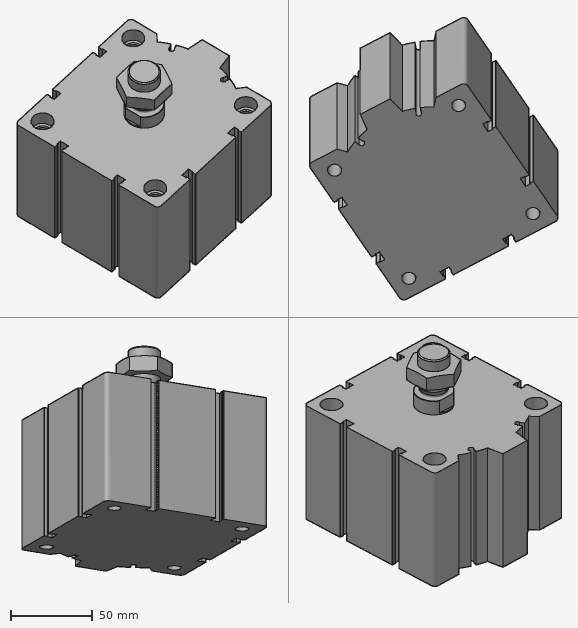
import cadquery as cq
import math


WIDTH = 113.0
HALF = WIDTH / 2
HOUSING_HEIGHT = 83.0
CORNER_RADIUS = 3.0

RAIL_RADIUS = 60.1
RIB_TOP_Y = 70.2
RIB_TOP_HALF_WIDTH = 10.7
RIB_BASE_HALF_WIDTH = 12.6
VALLEY_X = 31.0
SHOULDER_X = 35.5

GROOVE_ANGLE = 21.4
GROOVE_CENTER_RADIUS = 56.1
GROOVE_DIAMETER = 3.5
GROOVE_NECK_WIDTH = 3.2
GROOVE_NECK_LENGTH = 6.0

SLOT_OFFSET = 22.5
SLOT_MOUTH_WIDTH = 5.2
SLOT_MOUTH_DEPTH = 2.8
SLOT_LIP_CHAMFER = 0.3
SLOT_WIDTH = 6.3
SLOT_DEPTH = 6.0

HOLE_SPACING = 89.0
HOLE_DIAMETER = 8.5
COUNTERBORE_DIAMETER = 14.0
COUNTERBORE_DEPTH = 9.5
COUNTERSINK_DIAMETER = 10.0

COLLAR_DIAMETER = 25.0
COLLAR_HEIGHT = 10.0
COLLAR_CHAMFER = 0.2
FLATS_WIDTH = 22.0
FLATS_START = 1.0
THREAD_DIAMETER = 20.0
THREAD_TIP_DIAMETER = 18.38
THREAD_TIP_CHAMFER = (THREAD_DIAMETER - THREAD_TIP_DIAMETER) / 2
NECK_DIAMETER = 17.9
NECK_FILLET = 0.6
NECK_END = 12.0
THREAD_START = 14.8
ROD_HEIGHT = 38.0

NUT_WIDTH = 30.0
NUT_HEIGHT = 10.0
NUT_TOP = 30.0
NUT_FACE_DIAMETER = 29.9
NUT_CHAMFER_ANGLE = 15.0


def housing_outline():
    """Plan outline of the housing, before the grooves and slots are cut."""

    def on_rail(x):
        return (x, math.sqrt(RAIL_RADIUS**2 - x**2))

    def mirrored(point):
        return (-point[0], point[1])

    valley = on_rail(VALLEY_X)
    rib_base = on_rail(RIB_BASE_HALF_WIDTH)
    mid_rail = on_rail((VALLEY_X + RIB_BASE_HALF_WIDTH) / 2)
    return (
        cq.Workplane("XY")
        .moveTo(-HALF, -HALF)
        .lineTo(HALF, -HALF)
        .lineTo(HALF, HALF)
        .lineTo(SHOULDER_X, HALF)
        .lineTo(*valley)
        .threePointArc(mid_rail, rib_base)
        .lineTo(RIB_TOP_HALF_WIDTH, RIB_TOP_Y)
        .lineTo(-RIB_TOP_HALF_WIDTH, RIB_TOP_Y)
        .lineTo(*mirrored(rib_base))
        .threePointArc(mirrored(mid_rail), mirrored(valley))
        .lineTo(-SHOULDER_X, HALF)
        .lineTo(-HALF, HALF)
        .close()
    )


def t_slot():
    """Cutter for one T-slot opening at the -Y side, with chamfered lips."""
    half_mouth = SLOT_MOUTH_WIDTH / 2
    half_slot = SLOT_WIDTH / 2
    half_lip = half_mouth + SLOT_LIP_CHAMFER
    step_y = SLOT_MOUTH_DEPTH - HALF
    floor_y = SLOT_DEPTH - HALF
    return (
        cq.Workplane("XY")
        .polyline(
            [
                (0, -HALF),
                (half_lip, -HALF),
                (half_mouth, SLOT_LIP_CHAMFER - HALF),
                (half_mouth, step_y),
                (half_slot, step_y),
                (half_slot, floor_y),
                (0, floor_y),
            ]
        )
        .mirrorY()
        .extrude(HOUSING_HEIGHT)
    )


def sensor_groove():
    """Cutter for one keyhole groove on the +Y axis."""
    bore = (
        cq.Workplane("XY")
        .center(0, GROOVE_CENTER_RADIUS)
        .circle(GROOVE_DIAMETER / 2)
        .extrude(HOUSING_HEIGHT)
    )
    neck = (
        cq.Workplane("XY")
        .box(GROOVE_NECK_WIDTH, GROOVE_NECK_LENGTH, HOUSING_HEIGHT, centered=(True, False, False))
        .translate((0, GROOVE_CENTER_RADIUS, 0))
    )
    return bore.union(neck)


def mounting_holes():
    """Cutter for the four through holes with countersunk counterbores."""
    radius = HOLE_DIAMETER / 2
    sink_radius = COUNTERSINK_DIAMETER / 2
    counterbore_floor = HOUSING_HEIGHT - COUNTERBORE_DEPTH
    profile = (
        cq.Workplane("XZ")
        .polyline(
            [
                (0, 0),
                (radius, 0),
                (radius, counterbore_floor - (sink_radius - radius)),
                (sink_radius, counterbore_floor),
                (COUNTERBORE_DIAMETER / 2, counterbore_floor),
                (COUNTERBORE_DIAMETER / 2, HOUSING_HEIGHT),
                (0, HOUSING_HEIGHT),
            ]
        )
        .close()
    )
    hole = profile.revolve(360, (0, 0, 0), (0, 1, 0)).val()
    return (
        cq.Workplane("XY")
        .rect(HOLE_SPACING, HOLE_SPACING, forConstruction=True)
        .vertices()
        .eachpoint(lambda place: hole.moved(place))
    )


def build_housing():
    """Extruded block with rounded corners, slots, sensor grooves and mounting holes."""
    body = (
        housing_outline()
        .extrude(HOUSING_HEIGHT)
        .edges("|Z")
        .filter(lambda edge: abs(edge.Center().x) > SHOULDER_X + CORNER_RADIUS)
        .fillet(CORNER_RADIUS)
    )
    for turn in (-90, 0, 90):
        for offset in (-SLOT_OFFSET, SLOT_OFFSET):
            slot = t_slot().translate((offset, 0, 0)).rotate((0, 0, 0), (0, 0, 1), turn)
            body = body.cut(slot)
    for angle in (-GROOVE_ANGLE, GROOVE_ANGLE):
        body = body.cut(sensor_groove().rotate((0, 0, 0), (0, 0, 1), angle))
    return body.cut(mounting_holes())


def build_rod():
    """Turned rod end: collar with wrench flats, relief neck and thread."""
    collar_radius = COLLAR_DIAMETER / 2
    neck_radius = NECK_DIAMETER / 2
    thread_radius = THREAD_DIAMETER / 2
    fillet_middle = NECK_FILLET * (1 - math.sqrt(0.5))
    rod = (
        cq.Workplane("XZ")
        .lineTo(collar_radius, 0)
        .lineTo(collar_radius, COLLAR_HEIGHT - COLLAR_CHAMFER)
        .lineTo(collar_radius - COLLAR_CHAMFER, COLLAR_HEIGHT)
        .lineTo(neck_radius + NECK_FILLET, COLLAR_HEIGHT)
        .threePointArc(
            (neck_radius + fillet_middle, COLLAR_HEIGHT + fillet_middle),
            (neck_radius, COLLAR_HEIGHT + NECK_FILLET),
        )
        .lineTo(neck_radius, NECK_END)
        .lineTo(thread_radius, THREAD_START)
        .lineTo(thread_radius, ROD_HEIGHT - THREAD_TIP_CHAMFER)
        .lineTo(THREAD_TIP_DIAMETER / 2, ROD_HEIGHT)
        .lineTo(0, ROD_HEIGHT)
        .close()
        .revolve(360, (0, 0, 0), (0, 1, 0))
    )
    for side in (-1, 1):
        flat = (
            cq.Workplane("XY")
            .box(COLLAR_DIAMETER, FLATS_WIDTH, COLLAR_HEIGHT - FLATS_START, centered=(True, True, False))
            .translate((0, side * FLATS_WIDTH, FLATS_START))
        )
        rod = rod.cut(flat)
    return rod.translate((0, 0, HOUSING_HEIGHT))


def build_nut():
    """Hexagon nut with corners on Y, chamfered on both faces."""
    corner_radius = NUT_WIDTH / math.sqrt(3)
    face_radius = NUT_FACE_DIAMETER / 2
    chamfer_height = (corner_radius - face_radius) * math.tan(math.radians(NUT_CHAMFER_ANGLE))
    hexagon = (
        cq.Workplane("XY")
        .polygon(6, 2 * corner_radius)
        .extrude(NUT_HEIGHT)
        .rotate((0, 0, 0), (0, 0, 1), 90)
    )
    turned_blank = (
        cq.Workplane("XZ")
        .polyline(
            [
                (0, 0),
                (face_radius, 0),
                (corner_radius, chamfer_height),
                (corner_radius, NUT_HEIGHT - chamfer_height),
                (face_radius, NUT_HEIGHT),
                (0, NUT_HEIGHT),
            ]
        )
        .close()
        .revolve(360, (0, 0, 0), (0, 1, 0))
    )
    bore = cq.Workplane("XY").circle(THREAD_DIAMETER / 2).extrude(NUT_HEIGHT)
    nut = hexagon.intersect(turned_blank).cut(bore)
    return nut.translate((0, 0, HOUSING_HEIGHT + NUT_TOP - NUT_HEIGHT))


housing = build_housing()
rod = build_rod()
nut = build_nut()

result = cq.Compound.makeCompound([housing.val(), rod.val(), nut.val()])